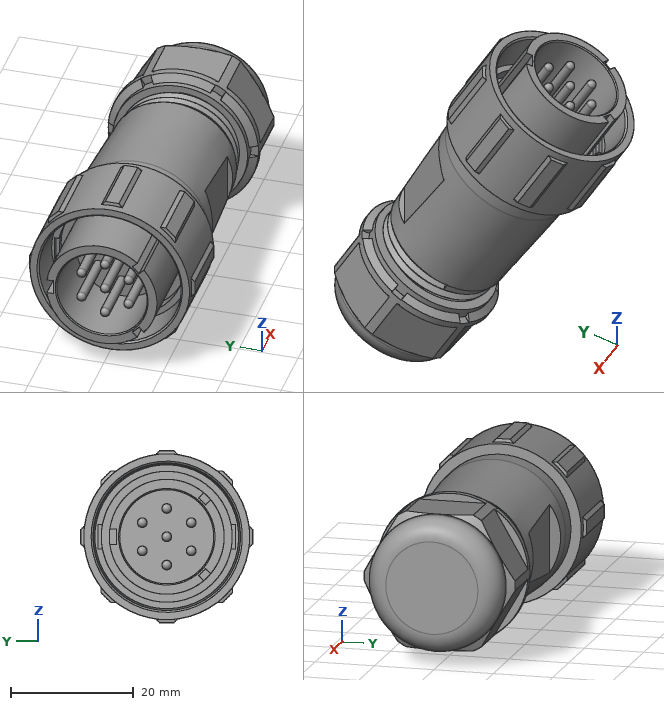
import cadquery as cq
import math


TOTAL_LENGTH = 62.6

SHELL_RADIUS = 9.35
SHELL_BORE_RADIUS = 7.65
SHELL_RIM_CHAMFER = 0.2
SHELL_BORE_DEPTH = 12.0
KEYWAY_FLOOR_RADIUS = 8.15
WIDE_KEYWAY_WIDTH = 2.45
NARROW_KEYWAY_WIDTH = 1.6
NARROW_KEYWAY_ANGLE = 45.0

PIN_RADIUS = 0.78
PIN_CIRCLE_RADIUS = 4.6
OUTER_PIN_COUNT = 6
PIN_TIP_X = 1.3

RING_START = 4.75
RING_END = 18.92
RING_RADIUS = 13.5
RING_BORE_RADIUS = 12.0
RING_FLOOR_RADIUS = 11.7
RING_RIM_CHAMFER = 0.3
RING_FLOOR_X = 11.3
LATCH_NOTCH_DEPTH = 1.0
INNER_GAP_RADIUS = 10.65
INNER_GAP_DEPTH = 2.0
LATCH_NOTCH_RADIUS = 11.2
LATCH_NOTCH_WIDTH = 4.0

RIB_COUNT = 8
RIB_ROOT_RADIUS = 13.2
RIB_TOP_RADIUS = 14.0
RIB_ROOT_WIDTH = 3.9
RIB_TOP_WIDTH = 2.3
RIB_CENTER_X = 11.82
RIB_ROOT_LENGTH = 11.65
RIB_TOP_LENGTH = 11.25

BODY_RADIUS = 11.77
TAPER_START = 22.45
BODY_END = 42.45
BODY_END_RADIUS = 10.73
FLAT_DISTANCE = 10.07
FLAT_START = 26.05
FLAT_END = 39.15
FLAT_START_SLOPE = 0.7
FLAT_END_SLOPE = 0.4

NECK_RADIUS = 10.22
THREAD_PITCH = 1.5
THREAD_ROOT_RADIUS = 9.35
THREAD_CREST_WIDTH = 0.04
THREAD_CUT_OVERSHOOT = 0.01
THREAD_START = 43.3
THREAD_TURNS = 2.5

NUT_START = 46.5
NUT_RADIUS = 11.4
NUT_CORNER_RADIUS = 12.72
FLANGE_START = 47.5
FLANGE_CHAMFER_END = 48.3
HEX_START = 49.53
HEX_CHAMFER_START = 57.65
HEX_END = 58.4
HEX_SIDES = 6
DOME_RADIUS = 3.65
NOTCH_WIDTH = 2.0
NOTCH_END = 48.45

CUT_MARGIN = 2.0


def revolved(points):
    """Solid of revolution about X from (x, radius) points."""
    return cq.Workplane("XY").polyline(points).close().revolve(360, (0, 0, 0), (1, 0, 0))


def rod(start, end, radius):
    """Cylinder on the X axis."""
    return cq.Workplane("YZ").workplane(offset=start).circle(radius).extrude(end - start)


def radial_block(start, end, inner, outer, width, angle):
    """Block pointing away from the axis, turned by angle about X from +Y."""
    block = cq.Workplane("XY").box(
        end - start, outer - inner, width, centered=(False, False, True)
    )
    block = block.translate((start, inner, 0))
    return block.rotate((0, 0, 0), (1, 0, 0), angle)


def make_rib(angle):
    """Grip rib with sloping sides and ends."""
    rib = (
        cq.Workplane("XY", origin=(RIB_CENTER_X, 0, RIB_ROOT_RADIUS))
        .rect(RIB_ROOT_LENGTH, RIB_ROOT_WIDTH)
        .workplane(offset=RIB_TOP_RADIUS - RIB_ROOT_RADIUS)
        .rect(RIB_TOP_LENGTH, RIB_TOP_WIDTH)
        .loft(ruled=True)
    )
    return rib.rotate((0, 0, 0), (1, 0, 0), angle)


def make_coupling_ring():
    """Ribbed ring with a stepped annular opening around the pin shell."""
    gap_floor = RING_FLOOR_X + INNER_GAP_DEPTH
    ring = revolved(
        [
            (RING_START, RING_BORE_RADIUS + RING_RIM_CHAMFER),
            (RING_START, RING_RADIUS),
            (RING_END, RING_RADIUS),
            (RING_END, 0),
            (gap_floor, 0),
            (gap_floor, INNER_GAP_RADIUS),
            (RING_FLOOR_X, INNER_GAP_RADIUS),
            (RING_FLOOR_X, RING_FLOOR_RADIUS),
            (RING_START + RING_RIM_CHAMFER, RING_BORE_RADIUS),
        ]
    )
    for angle in (0, 180):
        notch = radial_block(
            RING_FLOOR_X,
            RING_FLOOR_X + LATCH_NOTCH_DEPTH,
            SHELL_RADIUS,
            LATCH_NOTCH_RADIUS,
            LATCH_NOTCH_WIDTH,
            angle,
        )
        ring = ring.cut(notch)
    for index in range(RIB_COUNT):
        ring = ring.union(make_rib(index * 360 / RIB_COUNT))
    return ring


def make_shell():
    """Tube around the pins with three keyways along its outside."""
    shell = revolved(
        [
            (0, SHELL_BORE_RADIUS + SHELL_RIM_CHAMFER),
            (0, SHELL_RADIUS),
            (RING_END, SHELL_RADIUS),
            (RING_END, 0),
            (SHELL_BORE_DEPTH, 0),
            (SHELL_BORE_DEPTH, SHELL_BORE_RADIUS),
            (SHELL_RIM_CHAMFER, SHELL_BORE_RADIUS),
        ]
    )
    keyways = (
        (0, WIDE_KEYWAY_WIDTH),
        (180 - NARROW_KEYWAY_ANGLE, NARROW_KEYWAY_WIDTH),
        (180 + NARROW_KEYWAY_ANGLE, NARROW_KEYWAY_WIDTH),
    )
    for angle, width in keyways:
        keyway = radial_block(
            0, RING_FLOOR_X, KEYWAY_FLOOR_RADIUS, SHELL_RADIUS + CUT_MARGIN, width, angle
        )
        shell = shell.cut(keyway)
    return shell


def make_pins():
    """One central pin and a circle of pins, all with round tips."""
    pin = rod(PIN_TIP_X + PIN_RADIUS, SHELL_BORE_DEPTH + CUT_MARGIN, PIN_RADIUS)
    tip = cq.Workplane("XY").sphere(PIN_RADIUS).translate((PIN_TIP_X + PIN_RADIUS, 0, 0))
    pin = pin.union(tip)
    pins = [pin]
    for index in range(OUTER_PIN_COUNT):
        angle = index * 360 / OUTER_PIN_COUNT
        pins.append(pin.translate((0, 0, PIN_CIRCLE_RADIUS)).rotate((0, 0, 0), (1, 0, 0), angle))
    return pins


def make_body():
    """Round collar and taper with a sunken flat on the -Y and +Y sides."""
    body = revolved(
        [
            (RING_END - CUT_MARGIN, 0),
            (RING_END - CUT_MARGIN, BODY_RADIUS),
            (TAPER_START, BODY_RADIUS),
            (BODY_END, BODY_END_RADIUS),
            (BODY_END, 0),
        ]
    )
    rise = BODY_RADIUS + CUT_MARGIN - FLAT_DISTANCE
    flat_cutter = (
        cq.Workplane("XY")
        .moveTo(FLAT_START, FLAT_DISTANCE)
        .lineTo(FLAT_END, FLAT_DISTANCE)
        .lineTo(FLAT_END + FLAT_END_SLOPE * rise, FLAT_DISTANCE + rise)
        .lineTo(FLAT_START - FLAT_START_SLOPE * rise, FLAT_DISTANCE + rise)
        .close()
        .extrude(BODY_RADIUS, both=True)
    )
    return body.cut(flat_cutter).cut(flat_cutter.mirror("XZ"))


def make_neck():
    """Neck with a right-hand V thread whose groove starts on the -Z side."""
    neck = rod(BODY_END, NUT_START + THREAD_PITCH, NECK_RADIUS)
    half_width = (THREAD_PITCH - THREAD_CREST_WIDTH) / 2
    flank_slope = half_width / (NECK_RADIUS - THREAD_ROOT_RADIUS)
    cutter_radius = NECK_RADIUS + THREAD_CUT_OVERSHOOT
    cutter_half_width = flank_slope * (cutter_radius - THREAD_ROOT_RADIUS)
    helix = cq.Wire.makeHelix(THREAD_PITCH, THREAD_PITCH * THREAD_TURNS, THREAD_ROOT_RADIUS)
    groove = (
        cq.Workplane("XZ")
        .moveTo(THREAD_ROOT_RADIUS, 0)
        .lineTo(cutter_radius, cutter_half_width)
        .lineTo(cutter_radius, -cutter_half_width)
        .close()
        .sweep(cq.Workplane(obj=helix), isFrenet=True)
    )
    groove = groove.rotate((0, 0, 0), (0, 1, 0), 90).translate((THREAD_START, 0, 0))
    return neck.cut(groove)


def make_nut():
    """Hexagonal nut with a notched round flange and a domed end."""
    envelope = (
        cq.Workplane("XY")
        .moveTo(NUT_START, 0)
        .lineTo(NUT_START, NUT_RADIUS)
        .lineTo(FLANGE_START, NUT_RADIUS)
        .lineTo(FLANGE_CHAMFER_END, NUT_CORNER_RADIUS)
        .lineTo(HEX_CHAMFER_START, NUT_CORNER_RADIUS)
        .lineTo(HEX_END, NUT_RADIUS)
        .lineTo(TOTAL_LENGTH - DOME_RADIUS, NUT_RADIUS)
        .radiusArc((TOTAL_LENGTH, NUT_RADIUS - DOME_RADIUS), DOME_RADIUS)
        .lineTo(TOTAL_LENGTH, 0)
        .close()
        .revolve(360, (0, 0, 0), (1, 0, 0))
    )
    hexagon_diameter = 2 * NUT_RADIUS / math.cos(math.pi / HEX_SIDES)
    hexagon = (
        cq.Workplane("YZ")
        .workplane(offset=HEX_START)
        .polygon(HEX_SIDES, hexagon_diameter)
        .extrude(HEX_END - HEX_START)
    )
    surround = rod(HEX_START, HEX_END, NUT_CORNER_RADIUS + CUT_MARGIN).cut(hexagon)
    nut = envelope.cut(surround)
    collar = rod(FLANGE_START, NOTCH_END, NUT_RADIUS)
    for index in range(HEX_SIDES):
        notch = radial_block(
            FLANGE_START,
            NOTCH_END,
            NUT_RADIUS - CUT_MARGIN,
            NUT_CORNER_RADIUS + CUT_MARGIN,
            NOTCH_WIDTH,
            index * 360 / HEX_SIDES,
        )
        nut = nut.cut(notch.cut(collar))
    return nut


result = make_coupling_ring().union(make_shell())
for contact_pin in make_pins():
    result = result.union(contact_pin)
result = result.union(make_body()).union(make_neck()).union(make_nut())